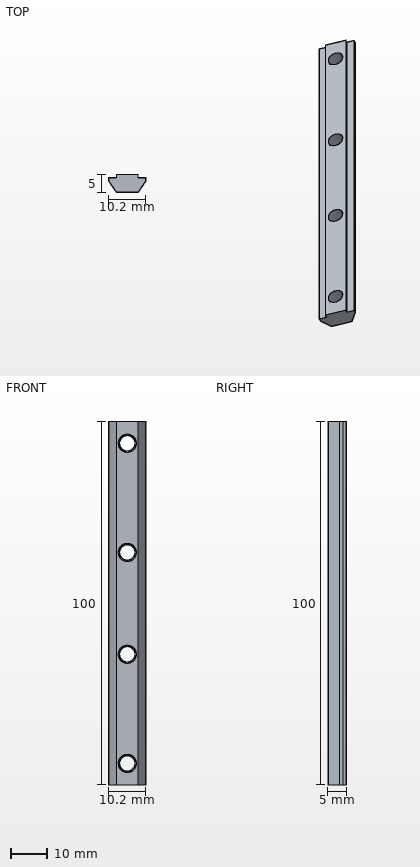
import cadquery as cq

WIDTH = 10.2
DEPTH = 5.0
LENGTH = 100.0

NECK_WIDTH = 6.0
NECK_HEIGHT = 0.9
FLANGE_EDGE = 1.0
FACE_WIDTH = 6.0

HOLE_DIAMETER = 4.2
COUNTERSINK_DIAMETER = 5.0
COUNTERSINK_ANGLE = 90.0
END_MARGIN = 6.0
HOLE_PITCH = 30.0

FRONT_Y = -DEPTH / 2
BACK_Y = DEPTH / 2


def make_rail():
    """Extrude the T-shaped section with sloped flanges along Z."""
    step_y = BACK_Y - NECK_HEIGHT
    slope_y = step_y - FLANGE_EDGE
    right_half = [
        (FACE_WIDTH / 2, FRONT_Y),
        (WIDTH / 2, slope_y),
        (WIDTH / 2, step_y),
        (NECK_WIDTH / 2, step_y),
        (NECK_WIDTH / 2, BACK_Y),
    ]
    left_half = [(-x, y) for x, y in reversed(right_half)]
    return (
        cq.Workplane("XY")
        .workplane(offset=-LENGTH / 2)
        .polyline(right_half + left_half)
        .close()
        .extrude(LENGTH)
    )


def cut_holes(rail):
    """Drill the two mirrored pairs of countersunk through holes."""
    outer_z = LENGTH / 2 - END_MARGIN
    inner_z = outer_z - HOLE_PITCH
    centres = [(0, z) for z in (-outer_z, -inner_z, inner_z, outer_z)]
    return (
        rail.copyWorkplane(cq.Workplane("XZ", origin=(0, FRONT_Y, 0)))
        .pushPoints(centres)
        .cskHole(HOLE_DIAMETER, COUNTERSINK_DIAMETER, COUNTERSINK_ANGLE)
    )


result = cut_holes(make_rail())